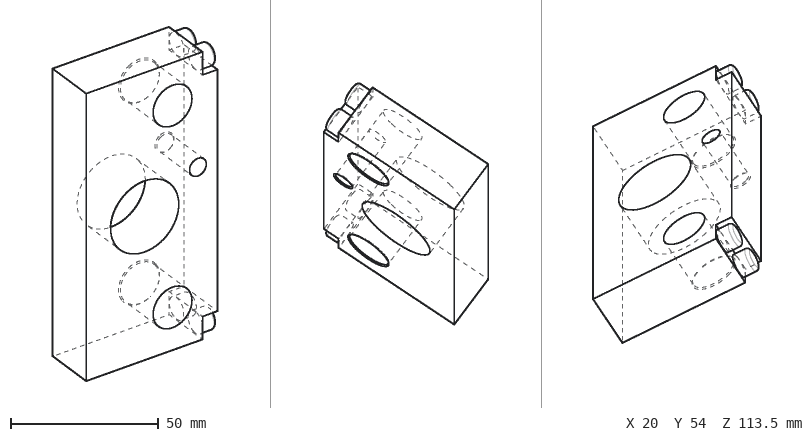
import cadquery as cq

thickness = 20.0
depth = 54.0
height = 113.5

notch_depth = 6.1
notch_height = 9.1
head_diameter = 8.5
head_recess = 0.3
head_rounding = 1.1
head_spacing = 11.2
head_inset = 4.7

bore_diameter = 28.0
bore_y = 24.1
mount_diameter = 16.0
mount_y = 35.5
mount_spacing = 79.7
small_diameter = 6.9
small_y = 46.0
small_z = 11.9
hole_chamfer = 0.5


def make_plate():
    """Plate with a rectangular notch at the top and bottom rear corners."""
    shoulder_y = depth - notch_depth
    half_height = height / 2
    notch_z = half_height - notch_height
    outline = [
        (0, -half_height),
        (shoulder_y, -half_height),
        (shoulder_y, -notch_z),
        (depth, -notch_z),
        (depth, notch_z),
        (shoulder_y, notch_z),
        (shoulder_y, half_height),
        (0, half_height),
    ]
    return cq.Workplane("YZ", origin=(-thickness / 2, 0, 0)).polyline(outline).close().extrude(thickness)


def make_head(x, z):
    """Round screw head standing on a notch shoulder, with a rounded rear rim."""
    length = notch_depth - head_recess
    return (
        cq.Workplane("XZ", origin=(x, depth - head_recess, z))
        .circle(head_diameter / 2)
        .extrude(length)
        .faces(">Y")
        .edges()
        .fillet(head_rounding)
    )


def make_hole(diameter, y, z, chamfer=0):
    """Cutter through the thickness, flared at the -X face when chamfered."""
    face = cq.Workplane("YZ", origin=(-thickness / 2, y, z))
    cutter = face.circle(diameter / 2).extrude(thickness)
    if chamfer > 0:
        flare = (
            face.circle(diameter / 2 + chamfer)
            .workplane(offset=chamfer)
            .circle(diameter / 2)
            .loft()
        )
        cutter = cutter.union(flare)
    return cutter


result = make_plate()

for side in (-1, 1):
    head_z = side * (height / 2 - head_inset)
    for head_x in (-head_spacing / 2, head_spacing / 2):
        result = result.union(make_head(head_x, head_z))

result = result.cut(make_hole(bore_diameter, bore_y, 0))
result = result.cut(make_hole(small_diameter, small_y, small_z, hole_chamfer))
for mount_z in (-mount_spacing / 2, mount_spacing / 2):
    result = result.cut(make_hole(mount_diameter, mount_y, mount_z, hole_chamfer))